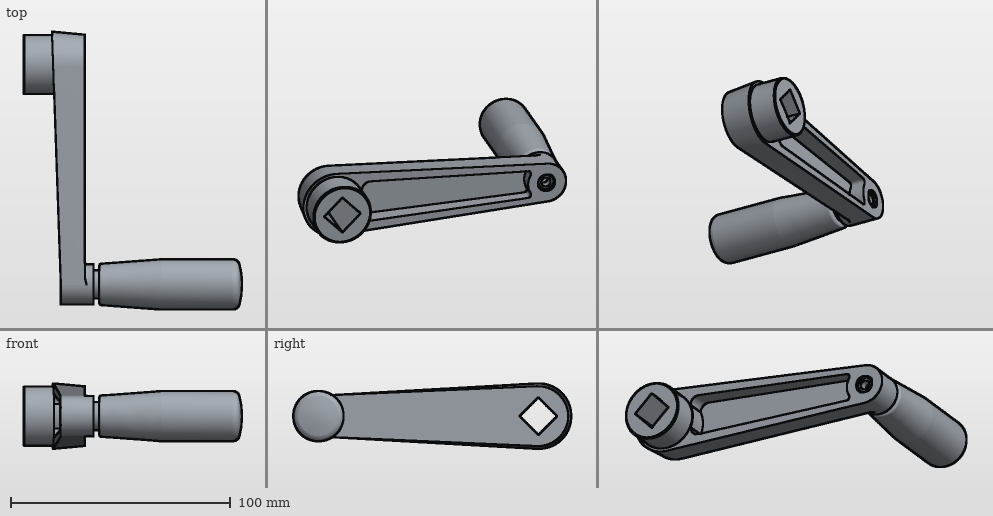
import cadquery as cq
import math

crank_length = 100.0

arm_front_x = 28.0
arm_back_x = 13.0
arm_back_end_x = 17.0
hub_end_radius = 15.0
hub_end_front_radius = 13.6
handle_end_radius = 9.25

sin_lean = (hub_end_radius - handle_end_radius) / crank_length
side_end_y = -crank_length - handle_end_radius * sin_lean
side_end_half_width = handle_end_radius * math.sqrt(1 - sin_lean**2)

hub_radius = 13.5
hub_chamfer = 0.5
drive_square = 12.0

boss_face_x = 32.0
boss_fillet = 0.9
stud_radius = 4.0

pocket_floor_x = 24.0
pocket_hub_y = -12.65
pocket_hub_half_width = 9.75
pocket_handle_y = -92.6
pocket_handle_half_width = 6.45
pocket_hub_corner_radius = 4.0
pocket_handle_corner_radius = 1.5
pocket_hub_arc_radius = 13.8
pocket_end_arc_radius = 8.7

neck_radius = 6.5
grip_start_x = 34.5
grip_start_radius = 9.4
grip_radius = 11.5
grip_taper_end_x = 62.7
grip_end_x = 99.5
grip_dome_radius = 35.0
grip_front_fillet = 1.2
grip_end_fillet = 3.2
stud_recess = 1.0
stud_chamfer = 0.5
socket_radius = 2.2
socket_depth = 5.0
socket_point_depth = 1.2


def x_cylinder(radius, start_x, end_x, y=0.0):
    """Cylinder whose axis is parallel to X."""
    return cq.Workplane("YZ", origin=(start_x, y, 0)).circle(radius).extrude(end_x - start_x)


def arm_outline(plane, hub_radius_here):
    """Round hub end with two straight sides that run to the boss and stop at a chord of it."""
    sin_lean_here = (hub_radius_here - handle_end_radius) / crank_length
    hub_y = -hub_radius_here * sin_lean_here
    hub_z = hub_radius_here * math.sqrt(1 - sin_lean_here**2)
    return (
        plane.moveTo(hub_y, -hub_z)
        .threePointArc((hub_radius_here, 0), (hub_y, hub_z))
        .lineTo(side_end_y, side_end_half_width)
        .lineTo(side_end_y, -side_end_half_width)
        .close()
    )


def make_boss_fillet():
    """Concave ring between the arm front and the boss, kept only where the arm lies behind it."""
    ring_outer_radius = handle_end_radius + boss_fillet
    ring_end_x = arm_front_x + boss_fillet
    round_off = boss_fillet * (1 - math.sqrt(0.5))
    ring = (
        cq.Workplane("XY")
        .moveTo(arm_front_x, 0)
        .lineTo(arm_front_x, ring_outer_radius)
        .threePointArc((arm_front_x + round_off, handle_end_radius + round_off), (ring_end_x, handle_end_radius))
        .lineTo(ring_end_x, 0)
        .close()
        .revolve(360, (0, 0, 0), (1, 0, 0))
        .translate((0, -crank_length, 0))
    )
    front_plane = cq.Workplane("YZ", origin=(arm_front_x, 0, 0))
    return ring.intersect(arm_outline(front_plane, hub_end_front_radius).extrude(boss_fillet))


def make_arm_blank():
    """Drafted arm with the handle boss; its back slopes from the hub tip, then runs flat."""
    back = arm_outline(cq.Workplane("YZ", origin=(arm_back_x, 0, 0)), hub_end_radius)
    front = back.workplane(offset=arm_front_x - arm_back_x)
    blank = arm_outline(front, hub_end_front_radius).loft(ruled=True)
    boss = x_cylinder(handle_end_radius, arm_back_x, boss_face_x, -crank_length)
    arm_tip_y = -crank_length - handle_end_radius
    back_waste = (
        cq.Workplane("XY")
        .moveTo(arm_back_x, hub_end_radius)
        .lineTo(arm_back_end_x, side_end_y)
        .lineTo(arm_back_end_x, arm_tip_y)
        .lineTo(arm_back_x, arm_tip_y)
        .close()
        .extrude(hub_end_radius, both=True)
    )
    return blank.union(boss).union(make_boss_fillet()).cut(back_waste)


def make_pocket():
    """Tapered pocket, its narrow end curved around the handle axis, clear of the hub."""
    depth = pocket_floor_x - arm_back_x
    pocket = (
        cq.Workplane("YZ", origin=(arm_back_x, 0, 0))
        .moveTo(pocket_hub_y, pocket_hub_half_width)
        .lineTo(pocket_handle_y, pocket_handle_half_width)
        .lineTo(pocket_handle_y, -pocket_handle_half_width)
        .lineTo(pocket_hub_y, -pocket_hub_half_width)
        .close()
        .extrude(depth)
    )
    end_round = x_cylinder(pocket_end_arc_radius, arm_back_x, pocket_floor_x, -crank_length)
    pocket = pocket.cut(end_round)
    pocket = pocket.edges("|X and >Y").fillet(pocket_hub_corner_radius)
    pocket = pocket.edges("|X and <Y").fillet(pocket_handle_corner_radius)
    return pocket.cut(x_cylinder(pocket_hub_arc_radius, arm_back_x, pocket_floor_x))


def make_arm():
    """Arm with its boss, pocket, hub, square drive hole and stud hole."""
    hub = x_cylinder(hub_radius, 0, arm_front_x).faces("<X").chamfer(hub_chamfer)
    drive_hole = (
        cq.Workplane("YZ")
        .rect(drive_square, drive_square)
        .extrude(arm_front_x)
        .rotate((0, 0, 0), (1, 0, 0), 45)
    )
    stud_hole = x_cylinder(stud_radius, arm_back_x, boss_face_x, -crank_length)
    arm = make_arm_blank().cut(make_pocket()).union(hub)
    return arm.cut(drive_hole).cut(stud_hole)


def make_handle():
    """Grip, neck and stud turned about one axis, with a pointed blind hole in the stud end."""
    dome_edge_x = grip_end_x - grip_dome_radius + math.sqrt(grip_dome_radius**2 - grip_radius**2)
    dome_mid_radius = grip_radius / 2
    dome_mid_x = grip_end_x - grip_dome_radius + math.sqrt(grip_dome_radius**2 - dome_mid_radius**2)
    grip = (
        cq.Workplane("XY")
        .moveTo(grip_start_x, 0)
        .lineTo(grip_start_x, grip_start_radius)
        .lineTo(grip_taper_end_x, grip_radius)
        .lineTo(dome_edge_x, grip_radius)
        .threePointArc((dome_mid_x, dome_mid_radius), (grip_end_x, 0))
        .close()
        .revolve(360, (0, 0, 0), (1, 0, 0))
    )
    grip = grip.faces("<X").edges().fillet(grip_front_fillet)
    grip = grip.faces(">X").edges("%CIRCLE").fillet(grip_end_fillet)
    neck = x_cylinder(neck_radius, boss_face_x, grip_start_x)
    stud_end_x = arm_back_end_x + stud_recess
    stud = x_cylinder(stud_radius, stud_end_x, boss_face_x).faces("<X").chamfer(stud_chamfer)
    socket = (
        cq.Workplane("XY")
        .moveTo(stud_end_x, 0)
        .lineTo(stud_end_x, socket_radius)
        .lineTo(stud_end_x + socket_depth, socket_radius)
        .lineTo(stud_end_x + socket_depth + socket_point_depth, 0)
        .close()
        .revolve(360, (0, 0, 0), (1, 0, 0))
    )
    return grip.union(neck).union(stud).cut(socket).translate((0, -crank_length, 0))


arm = make_arm()
handle = make_handle()

result = cq.Compound.makeCompound([arm.val(), handle.val()])